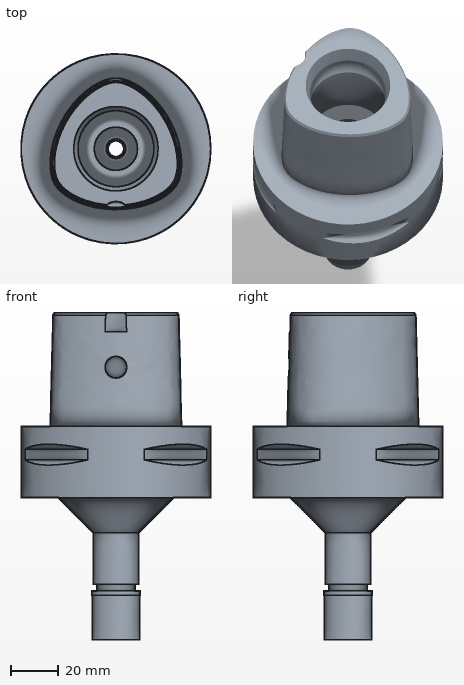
import cadquery as cq
import math

TOTAL_HEIGHT = 138.0
SLEEVE_HEIGHT = 20.7
COLLAR_BOTTOM = 18.8
GROOVE_TOP = 23.5
CONE_BOTTOM = 45.3
FLANGE_BOTTOM = 60.0
FLANGE_TOP = 90.0

FLANGE_RADIUS = 40.0
SHANK_RADIUS = 9.7
CONE_RADIUS = SHANK_RADIUS + FLANGE_BOTTOM - CONE_BOTTOM
NECK_RADIUS = 8.1
COLLAR_RADIUS = 10.2
SLEEVE_RADIUS = 10.1

LOBE_COUNT = 3
LOBE_RADIUS = 27.7
LOBE_RISE = 2.1
TAPER_RATIO = 1 / 40
TOP_CHAMFER_HEIGHT = 1.2
TOP_CHAMFER_WIDTH = 0.7
OUTLINE_POINTS = 48

MOUTH_RADIUS = 17.8
BORE_RADIUS = 16.0
MOUTH_DEPTH = 6.3
LIP_DEPTH = 7.7
RECESS_RADIUS = 18.9
RECESS_DEPTH = 13.5
RECESS_CONE_DEPTH = 16.8
BORE_DEPTH = 44.2
STUD_HOLE_RADIUS = 9.1
STUD_HOLE_DEPTH = 71.8
COOLANT_RADIUS = 4.1
SLEEVE_HOLE_RADIUS = 3.3

NOTCH_RADIUS = 5.7
NOTCH_INNER_Y = -22.2
NOTCH_DEPTH = 8.0
SIDE_HOLE_RADIUS = 4.5
SIDE_HOLE_Z = 115.0
SIDE_HOLE_FLOOR_Y = -19.3

SLOT_COUNT = 4
SLOT_Z = 78.1
SLOT_FLOOR_DISTANCE = 35.5
SLOT_FLOOR_HALF_HEIGHT = 2.2
SLOT_MOUTH_HALF_HEIGHT = 4.4


def revolve(profile):
    """Turn a closed (radius, height) profile about the Z axis."""
    return cq.Workplane("XZ").polyline(profile).close().revolve(360, (0, 0, 0), (0, 1, 0))


def lobe_wire(mean_radius, z):
    """Closed outline whose tangent distance is mean_radius + rise * cos(LOBE_COUNT * angle from +Y)."""
    points = []
    for i in range(OUTLINE_POINTS):
        angle = 2 * math.pi * i / OUTLINE_POINTS
        reach = mean_radius + LOBE_RISE * math.cos(LOBE_COUNT * angle)
        slope = -LOBE_COUNT * LOBE_RISE * math.sin(LOBE_COUNT * angle)
        x = reach * math.sin(angle) + slope * math.cos(angle)
        y = reach * math.cos(angle) - slope * math.sin(angle)
        points.append(cq.Vector(x, y, z))
    return cq.Wire.assembleEdges([cq.Edge.makeSpline(points, periodic=True)])


def make_coupling():
    """Tapered three-lobed stub with a chamfered top edge."""
    chamfer_z = TOTAL_HEIGHT - TOP_CHAMFER_HEIGHT
    chamfer_radius = LOBE_RADIUS - TAPER_RATIO * (chamfer_z - FLANGE_TOP)
    base = lobe_wire(LOBE_RADIUS, FLANGE_TOP)
    shoulder = lobe_wire(chamfer_radius, chamfer_z)
    top = lobe_wire(chamfer_radius - TOP_CHAMFER_WIDTH, TOTAL_HEIGHT)
    taper = cq.Workplane(cq.Solid.makeLoft([base, shoulder], True))
    return taper.union(cq.Workplane(cq.Solid.makeLoft([shoulder, top], True)))


def make_turned_body():
    """Flange, cone, shank and neck."""
    return revolve([
        (0, SLEEVE_HEIGHT),
        (NECK_RADIUS, SLEEVE_HEIGHT),
        (NECK_RADIUS, GROOVE_TOP),
        (SHANK_RADIUS, GROOVE_TOP),
        (SHANK_RADIUS, CONE_BOTTOM),
        (CONE_RADIUS, FLANGE_BOTTOM),
        (FLANGE_RADIUS, FLANGE_BOTTOM),
        (FLANGE_RADIUS, FLANGE_TOP),
        (0, FLANGE_TOP),
    ])


def make_bore():
    """Stepped cavity with a tapered mouth and an undercut recess."""
    bore_floor = TOTAL_HEIGHT - BORE_DEPTH
    stud_floor = TOTAL_HEIGHT - STUD_HOLE_DEPTH
    return revolve([
        (0, TOTAL_HEIGHT),
        (MOUTH_RADIUS, TOTAL_HEIGHT),
        (BORE_RADIUS, TOTAL_HEIGHT - MOUTH_DEPTH),
        (BORE_RADIUS, TOTAL_HEIGHT - LIP_DEPTH),
        (RECESS_RADIUS, TOTAL_HEIGHT - LIP_DEPTH),
        (RECESS_RADIUS, TOTAL_HEIGHT - RECESS_DEPTH),
        (BORE_RADIUS, TOTAL_HEIGHT - RECESS_CONE_DEPTH),
        (BORE_RADIUS, bore_floor),
        (STUD_HOLE_RADIUS, bore_floor),
        (STUD_HOLE_RADIUS, stud_floor),
        (COOLANT_RADIUS, stud_floor),
        (COOLANT_RADIUS, SLEEVE_HEIGHT),
        (0, SLEEVE_HEIGHT),
    ])


def make_notch():
    """Round-backed notch in the top edge."""
    return (
        cq.Workplane("XY", origin=(0, NOTCH_INNER_Y - NOTCH_RADIUS, TOTAL_HEIGHT - NOTCH_DEPTH))
        .circle(NOTCH_RADIUS)
        .extrude(NOTCH_DEPTH)
    )


def make_side_hole():
    """Flat-bottomed blind hole entering from -Y."""
    return (
        cq.Workplane("XZ", origin=(0, SIDE_HOLE_FLOOR_Y, SIDE_HOLE_Z))
        .circle(SIDE_HOLE_RADIUS)
        .extrude(FLANGE_RADIUS + SIDE_HOLE_FLOOR_Y)
    )


def make_gripper_slot(angle):
    """Straight slot across the rim with a flat floor and flared flanks."""
    return (
        cq.Workplane("XZ")
        .polyline([
            (SLOT_FLOOR_DISTANCE, SLOT_Z - SLOT_FLOOR_HALF_HEIGHT),
            (FLANGE_RADIUS, SLOT_Z - SLOT_MOUTH_HALF_HEIGHT),
            (FLANGE_RADIUS, SLOT_Z + SLOT_MOUTH_HALF_HEIGHT),
            (SLOT_FLOOR_DISTANCE, SLOT_Z + SLOT_FLOOR_HALF_HEIGHT),
        ])
        .close()
        .extrude(FLANGE_RADIUS, both=True)
        .rotate((0, 0, 0), (0, 0, 1), angle)
    )


def make_holder():
    """Tool holder: coupling, flange and shank in one piece."""
    holder = make_turned_body().union(make_coupling())
    holder = holder.cut(make_bore()).cut(make_notch()).cut(make_side_hole())
    pitch = 360 / SLOT_COUNT
    for i in range(SLOT_COUNT):
        holder = holder.cut(make_gripper_slot(pitch * (i + 0.5)))
    return holder


def make_sleeve():
    """End sleeve with a thin collar, butted against the neck of the holder."""
    return revolve([
        (SLEEVE_HOLE_RADIUS, 0),
        (SLEEVE_RADIUS, 0),
        (SLEEVE_RADIUS, COLLAR_BOTTOM),
        (COLLAR_RADIUS, COLLAR_BOTTOM),
        (COLLAR_RADIUS, SLEEVE_HEIGHT),
        (SLEEVE_HOLE_RADIUS, SLEEVE_HEIGHT),
    ])


holder = make_holder()
sleeve = make_sleeve()
result = cq.Compound.makeCompound([holder.val(), sleeve.val()])